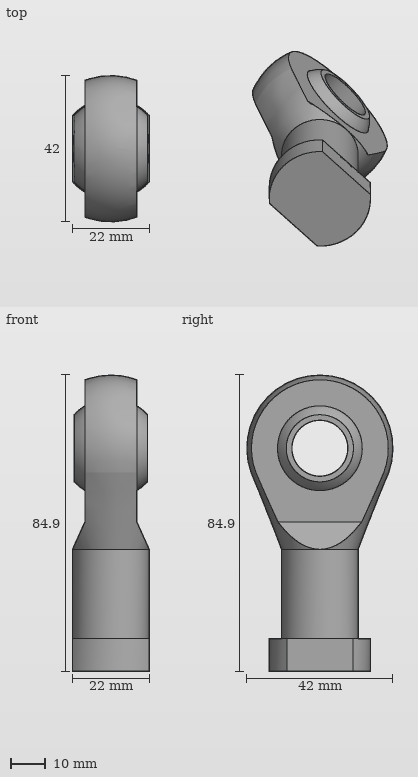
import cadquery as cq
import math

total_height = 84.9
head_radius = 21.0
head_half_width = 7.5
eye_height = total_height - head_radius

shank_diameter = 22.0
shank_radius = shank_diameter / 2
shank_top = 35.0
collar_radius = 14.5
collar_height = 9.4
collar_across_flats = shank_diameter

neck_top_drop = 7.0
neck_top = eye_height - neck_top_drop
neck_top_radius = math.sqrt(head_radius**2 - neck_top_drop**2)
bevel_top = 42.8
cutter_margin = 0.85

ball_radius = 14.3
ball_half_width = 10.5
bore_radius = 8.0


def make_collar():
    """Round collar with two wrench flats facing -X and +X."""
    disc = cq.Workplane("XY").circle(collar_radius).extrude(collar_height)
    flats = cq.Workplane("XY").rect(collar_across_flats, 2 * collar_radius).extrude(collar_height)
    return disc.intersect(flats)


def make_turned_body():
    """Shank, conical neck and spherical head as one revolved profile."""
    mid_angle = (math.pi / 2 - math.asin(neck_top_drop / head_radius)) / 2
    arc_middle = (
        head_radius * math.cos(mid_angle),
        eye_height + head_radius * math.sin(mid_angle),
    )
    return (
        cq.Workplane("XZ")
        .moveTo(0, 0)
        .lineTo(shank_radius, 0)
        .lineTo(shank_radius, shank_top)
        .lineTo(neck_top_radius, neck_top)
        .threePointArc(arc_middle, (0, total_height))
        .close()
        .revolve(360, (0, 0, 0), (0, 1, 0))
    )


def make_side_cutter():
    """Block on the +X side that cuts one flat head face and the bevel below it."""
    bevel_slope = (bevel_top - shank_top) / (shank_radius - head_half_width)
    cutter_outer = head_radius + cutter_margin
    cutter_top = total_height + cutter_margin
    bevel_bottom = bevel_top - bevel_slope * (cutter_outer - head_half_width)
    return (
        cq.Workplane("XZ")
        .moveTo(head_half_width, bevel_top)
        .lineTo(head_half_width, cutter_top)
        .lineTo(cutter_outer, cutter_top)
        .lineTo(cutter_outer, bevel_bottom)
        .close()
        .extrude(cutter_outer, both=True)
    )


def make_seat():
    """Sphere that hollows the head to fit the ball, with its poles on the eye axis."""
    return (
        cq.Workplane("XZ", origin=(0, 0, eye_height))
        .moveTo(-ball_radius, 0)
        .threePointArc((0, ball_radius), (ball_radius, 0))
        .close()
        .revolve(360, (0, 0, 0), (1, 0, 0))
    )


def make_housing():
    """Rod-end housing with a spherical seat through the head."""
    right_cutter = make_side_cutter()
    left_cutter = right_cutter.mirror("YZ")
    body = make_turned_body().cut(right_cutter).cut(left_cutter)
    return body.union(make_collar()).cut(make_seat())


def make_ball():
    """Ball with flat ends and a through bore, revolved about the eye axis."""
    end_radius = math.sqrt(ball_radius**2 - ball_half_width**2)
    return (
        cq.Workplane("XZ", origin=(0, 0, eye_height))
        .moveTo(-ball_half_width, bore_radius)
        .lineTo(-ball_half_width, end_radius)
        .threePointArc((0, ball_radius), (ball_half_width, end_radius))
        .lineTo(ball_half_width, bore_radius)
        .close()
        .revolve(360, (0, 0, 0), (1, 0, 0))
    )


housing = make_housing()
ball = make_ball()

result = cq.Compound.makeCompound([housing.solids().val(), ball.val()])